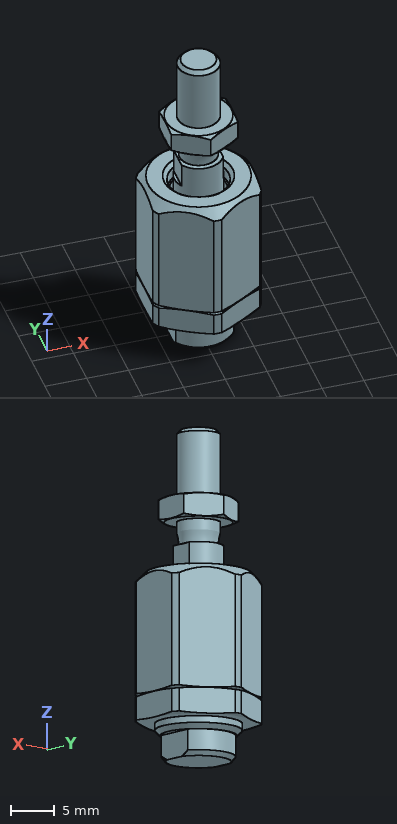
import cadquery as cq
import math


plug_end_length = 3.0
plug_exposed_thread = 1.4
lock_nut_height = 3.05
housing_length = 14.48
ring_recess = 1.92
ring_length = 5.35
shank_flat_rise = 0.15
shank_flat_length = 2.95
neck_length = 1.5
stud_nut_height = 2.75
stud_nut_rise = 5.9
stud_top = 38.5
tip_chamfer_height = 0.5

plug_thread_bottom = plug_end_length
lock_nut_bottom = plug_thread_bottom + plug_exposed_thread
housing_bottom = lock_nut_bottom + lock_nut_height
housing_top = housing_bottom + housing_length
ring_top = housing_top - ring_recess
plug_top = ring_top - ring_length
shank_flat_bottom = housing_top + shank_flat_rise
neck_bottom = shank_flat_bottom + shank_flat_length
neck_top = neck_bottom + neck_length
stud_nut_bottom = housing_top + stud_nut_rise
stud_nut_top = stud_nut_bottom + stud_nut_height

hexagon_sides = 6
half_sector = 180 / hexagon_sides

body_hex_width = 13.0
body_corner_diameter = 14.5
body_edge_diameter = 12.85
body_edge_angle = 12.0
housing_top_diameter = 12.0
housing_top_angle = 45.0
housing_mouth_diameter = 7.2
housing_mouth_chamfer = 0.5

plug_thread_diameter = 10.0
plug_thread_chamfer = 0.6
plug_end_diameter = 8.5
plug_end_flats = 7.0
plug_end_chamfer_radial = 0.5
plug_end_chamfer_height = 0.58

stud_diameter = 5.0
stud_tip_diameter = 4.12
shank_diameter = 5.8
shank_flats = stud_diameter
neck_arc_radius = stud_diameter
ring_bore_diameter = 6.7
stud_nut_width = 8.0
stud_nut_edge_diameter = 7.85
stud_nut_edge_angle = 20.0


def cylinder(diameter, bottom, top):
    return cq.Workplane("XY").workplane(offset=bottom).circle(diameter / 2).extrude(top - bottom)


def hexagon_corner_diameter(width):
    return width / math.cos(math.radians(half_sector))


def hexagon(width, bottom, top):
    """Hexagonal prism with two flats facing +X and -X."""
    prism = cq.Workplane("XY").polygon(hexagon_sides, hexagon_corner_diameter(width)).extrude(top - bottom)
    return prism.rotate((0, 0, 0), (0, 0, 1), half_sector).translate((0, 0, bottom))


def corner_bevel(face_diameter, outer_diameter, angle, face_height, inward):
    """Envelope whose end face of face_diameter slopes off at angle to outer_diameter.

    inward is +1 when the material lies above the face and -1 when it lies below.
    """
    face_radius = face_diameter / 2
    outer_radius = outer_diameter / 2
    drop = (outer_radius - face_radius) * math.tan(math.radians(angle))
    far_height = face_height + inward * stud_top
    return (
        cq.Workplane("XZ")
        .moveTo(0, face_height)
        .lineTo(face_radius, face_height)
        .lineTo(outer_radius, face_height + inward * drop)
        .lineTo(outer_radius, far_height)
        .lineTo(0, far_height)
        .close()
        .revolve(360, (0, 0, 0), (0, 1, 0))
    )


def flats_slab(width, bottom, top):
    """Slab whose sides are a pair of flats facing +X and -X, deeper in Y than any body."""
    depth = 2 * body_corner_diameter
    return cq.Workplane("XY").box(width, depth, top - bottom).translate((0, 0, (bottom + top) / 2))


def make_housing():
    body = hexagon(body_hex_width, housing_bottom, housing_top)
    body = body.intersect(
        corner_bevel(housing_top_diameter, body_corner_diameter, housing_top_angle, housing_top, -1)
    )
    body = body.intersect(
        corner_bevel(body_edge_diameter, body_corner_diameter, body_edge_angle, housing_bottom, 1)
    )
    body = body.cut(cylinder(plug_thread_diameter, housing_bottom, ring_top))
    body = body.cut(cylinder(housing_mouth_diameter, ring_top, housing_top))
    mouth_rim = body.faces(">Z").edges(cq.selectors.RadiusNthSelector(0))
    return mouth_rim.chamfer(housing_mouth_chamfer)


def make_lock_nut():
    nut = hexagon(body_hex_width, lock_nut_bottom, housing_bottom)
    for height, inward in ((lock_nut_bottom, 1), (housing_bottom, -1)):
        nut = nut.intersect(
            corner_bevel(body_edge_diameter, body_corner_diameter, body_edge_angle, height, inward)
        )
    return nut.cut(cylinder(plug_thread_diameter, lock_nut_bottom, housing_bottom))


def make_plug():
    thread = cylinder(plug_thread_diameter, plug_thread_bottom, plug_top)
    thread = thread.faces("<Z").chamfer(plug_thread_chamfer)
    end = cylinder(plug_end_diameter, 0, plug_thread_bottom)
    end = end.faces("<Z").chamfer(plug_end_chamfer_height, plug_end_chamfer_radial)
    end = end.intersect(flats_slab(plug_end_flats, 0, plug_thread_bottom))
    return thread.union(end)


def make_ring():
    ring = cylinder(plug_thread_diameter, plug_top, ring_top)
    return ring.cut(cylinder(ring_bore_diameter, plug_top, ring_top))


def make_stud():
    stud_radius = stud_diameter / 2
    shank_radius = shank_diameter / 2
    tip_radius = stud_tip_diameter / 2
    neck_taper = neck_arc_radius - math.sqrt(neck_arc_radius**2 - neck_length**2)
    neck_radius = stud_radius - neck_taper
    half_angle = math.asin(neck_length / neck_arc_radius) / 2
    neck_middle = (
        neck_radius + neck_arc_radius * (1 - math.cos(half_angle)),
        neck_bottom + neck_arc_radius * math.sin(half_angle),
    )
    stud = (
        cq.Workplane("XZ")
        .moveTo(0, plug_top)
        .lineTo(shank_radius, plug_top)
        .lineTo(shank_radius, neck_bottom)
        .lineTo(neck_radius, neck_bottom)
        .threePointArc(neck_middle, (stud_radius, neck_top))
        .lineTo(stud_radius, stud_top - tip_chamfer_height)
        .lineTo(tip_radius, stud_top)
        .lineTo(0, stud_top)
        .close()
        .revolve(360, (0, 0, 0), (0, 1, 0))
    )
    shank_sides = cylinder(shank_diameter, shank_flat_bottom, neck_bottom).cut(
        flats_slab(shank_flats, shank_flat_bottom, neck_bottom)
    )
    return stud.cut(shank_sides)


def make_stud_nut():
    nut = hexagon(stud_nut_width, stud_nut_bottom, stud_nut_top)
    corner_diameter = hexagon_corner_diameter(stud_nut_width)
    for height, inward in ((stud_nut_bottom, 1), (stud_nut_top, -1)):
        nut = nut.intersect(
            corner_bevel(stud_nut_edge_diameter, corner_diameter, stud_nut_edge_angle, height, inward)
        )
    return nut.cut(cylinder(stud_diameter, stud_nut_bottom, stud_nut_top))


housing = make_housing()
lock_nut = make_lock_nut()
plug = make_plug()
ring = make_ring()
stud = make_stud()
stud_nut = make_stud_nut()

result = cq.Compound.makeCompound(
    [housing.val(), lock_nut.val(), plug.val(), ring.val(), stud.val(), stud_nut.val()]
)